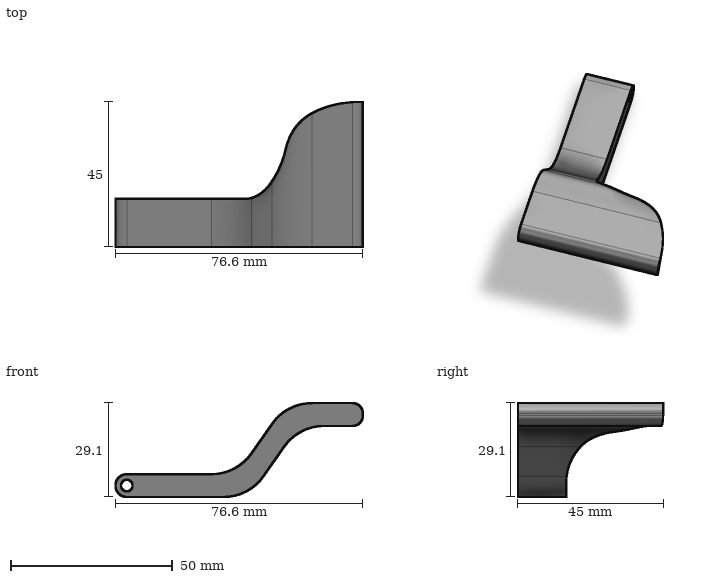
import cadquery as cq
import math

length = 76.6
wide_width = 45.0
height = 29.1

thickness = 7.1
rise_angle = math.radians(55)
bend_radius = 15.0
lower_bend_start = 29.8
tip_radius = 3.2
hole_diameter = 3.5

narrow_width = 15.0
side_radius = 20.0
side_tilt = 37.0
arc_joint_x = 52.55
arc_joint_z = 26.65


def make_bar():
    """Cranked bar extruded to full width, with a round pivot end and a rounded tip."""
    bend_tangent = bend_radius * math.tan(rise_angle / 2)
    top_low_x = lower_bend_start + bend_tangent
    top_high_x = top_low_x + (height - thickness) / math.tan(rise_angle)
    corner_shift = thickness * math.tan(rise_angle / 2)

    profile = [
        (0, 0),
        (top_low_x + corner_shift, 0),
        (top_high_x + corner_shift, height - thickness),
        (length, height - thickness),
        (length, height),
        (top_high_x, height),
        (top_low_x, thickness),
        (0, thickness),
    ]
    bar = cq.Workplane("XZ").polyline(profile).close().extrude(-wide_width)

    middle_box = cq.selectors.BoxSelector(
        (thickness, -thickness, -thickness),
        (length - thickness, wide_width + thickness, height + thickness),
    )
    bar = bar.edges("|Y").edges(middle_box).fillet(bend_radius)
    bar = bar.faces(">X").edges("|Y").fillet(tip_radius)

    end_radius = thickness / 2
    square_end = cq.Workplane("XY").box(end_radius, wide_width, thickness, centered=False)
    round_end = (
        cq.Workplane("XZ").center(end_radius, end_radius).circle(end_radius).extrude(-wide_width)
    )
    return bar.cut(square_end).union(round_end)


def make_side_waste():
    """Material beside the arm, bounded by the S-shaped side."""
    tilt = math.radians(side_tilt)
    side_plane = cq.Plane(
        origin=(arc_joint_x, 0, arc_joint_z),
        xDir=(math.cos(tilt), 0, math.sin(tilt)),
        normal=(-math.sin(tilt), 0, math.cos(tilt)),
    )

    half_rise = (wide_width - narrow_width) / 2
    sweep = math.acos(1 - half_rise / side_radius)
    half_run = side_radius * math.sin(sweep)
    mid_run = half_run - side_radius * math.sin(sweep / 2)
    mid_rise = half_rise - side_radius * (1 - math.cos(sweep / 2))
    joint_y = narrow_width + half_rise

    return (
        cq.Workplane(side_plane)
        .moveTo(-length, narrow_width)
        .lineTo(-half_run, narrow_width)
        .threePointArc((-mid_run, joint_y - mid_rise), (0, joint_y))
        .threePointArc((mid_run, joint_y + mid_rise), (half_run, wide_width))
        .lineTo(half_run, wide_width + thickness)
        .lineTo(-length, wide_width + thickness)
        .close()
        .extrude(length, both=True)
    )


def make_pivot_hole():
    """Hole along Y through the narrow end, concentric with its rounding."""
    return (
        cq.Workplane("XZ")
        .center(thickness / 2, thickness / 2)
        .circle(hole_diameter / 2)
        .extrude(-wide_width)
    )


result = make_bar().cut(make_side_waste()).cut(make_pivot_hole())